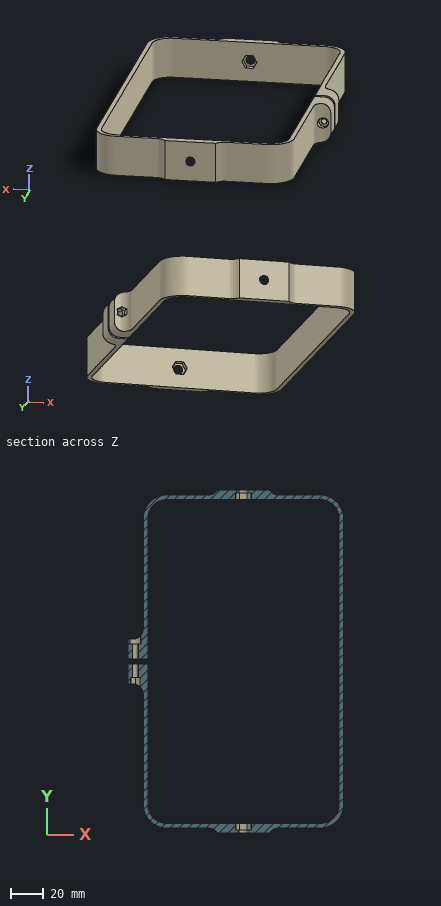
import cadquery as cq
import math

overall_x = 133.68
overall_y = 212.5
height = 25.4
wall = 3.175

lug_reach = 9.525
split_gap = 2.54
lug_width = 12.7
blend_radius = 6.35
screw_inset = lug_reach / 2
screw_hole_diameter = 3.4
screw_head_diameter = 6.5
screw_head_depth = 3.0
nut_flats = 5.6
nut_depth = 4.0

pad_height = 3.175
pad_width = 31.75
pad_flank_angle = math.radians(45)
pad_hole_diameter = 5.51
pad_nut_flats = 8.1
pad_nut_depth = 4.1

hexagon_sides = 6

corner_radius = 14.6
band_x = overall_x - lug_reach
band_y = overall_y - 2 * pad_height
inner_x = band_x - 2 * wall
inner_y = band_y - 2 * wall

band_left = -band_x / 2
band_inner_left = band_left + wall
lug_left = band_left - lug_reach
lug_end = split_gap / 2 + lug_width
screw_x = lug_left + screw_inset
pad_face = overall_y / 2


def make_band():
    """Rectangular band with rounded corners."""
    outer = cq.Workplane("XY").rect(band_x, band_y).extrude(height).edges("|Z").fillet(corner_radius)
    inner = cq.Workplane("XY").rect(inner_x, inner_y).extrude(height).edges("|Z").fillet(corner_radius - wall)
    return outer.cut(inner)


def make_pad():
    """Pad on the +Y side: sloping flanks blended into the band by concave arcs."""
    half_flat = pad_width / 2
    band_face = band_y / 2
    blend_rise = blend_radius * (1 - math.cos(pad_flank_angle))
    flank_foot = half_flat + (pad_height - blend_rise) / math.tan(pad_flank_angle)
    blend_foot = flank_foot + blend_radius * math.sin(pad_flank_angle)
    half_angle = pad_flank_angle / 2
    blend_mid_x = blend_foot - blend_radius * math.sin(half_angle)
    blend_mid_y = band_face + blend_radius * (1 - math.cos(half_angle))
    blend_top_y = band_face + blend_rise
    root_y = band_face - wall
    return (
        cq.Workplane("XY")
        .moveTo(-blend_foot, root_y)
        .lineTo(-blend_foot, band_face)
        .threePointArc((-blend_mid_x, blend_mid_y), (-flank_foot, blend_top_y))
        .lineTo(-half_flat, pad_face)
        .lineTo(half_flat, pad_face)
        .lineTo(flank_foot, blend_top_y)
        .threePointArc((blend_mid_x, blend_mid_y), (blend_foot, band_face))
        .lineTo(blend_foot, root_y)
        .close()
        .extrude(height)
    )


def make_lug():
    """Lug on the +Y side of the split, blended into the band and rounded at top and bottom."""
    blend_end = lug_end + blend_radius
    blend_start_x = band_left - blend_radius
    blend_mid = blend_radius * (1 - math.sqrt(0.5))
    profile = (
        cq.Workplane("XY")
        .moveTo(lug_left, 0)
        .lineTo(lug_left, lug_end)
        .lineTo(blend_start_x, lug_end)
        .threePointArc((band_left - blend_mid, lug_end + blend_mid), (band_left, blend_end))
        .lineTo(band_inner_left, blend_end)
        .lineTo(band_inner_left, 0)
        .close()
        .extrude(height)
    )
    envelope = (
        cq.Workplane("XY")
        .box(lug_reach + wall, blend_end, height, centered=False)
        .translate((lug_left, 0, 0))
        .edges("<X and |Y")
        .fillet(blend_radius)
    )
    return profile.intersect(envelope)


def both_sides(body):
    """The body together with its mirror image across the XZ plane."""
    return body.union(body.mirror("XZ"))


def plane_along_y(x, y):
    """Work plane at mid height whose extrusions run toward +Y from the given point."""
    return cq.Workplane(cq.Plane(origin=(x, y, height / 2), xDir=(1, 0, 0), normal=(0, 1, 0)))


def corner_diameter(flats):
    """Diameter across the corners of a hexagon, from its width across flats."""
    return 2 * flats / math.sqrt(3)


def make_split():
    """Gap that opens the band between the lugs."""
    return (
        cq.Workplane("XY")
        .box(lug_reach + wall, split_gap, height, centered=(False, True, False))
        .translate((lug_left, 0, 0))
    )


def make_screw_cutters():
    """Clamp screw hole, head counterbore in the +Y lug and nut pocket in the -Y lug."""
    seat_reach = blend_radius
    screw_hole = plane_along_y(screw_x, -lug_end).circle(screw_hole_diameter / 2).extrude(2 * lug_end)
    head_seat = (
        plane_along_y(screw_x, lug_end - screw_head_depth)
        .circle(screw_head_diameter / 2)
        .extrude(screw_head_depth + seat_reach)
    )
    nut_pocket = (
        plane_along_y(screw_x, -lug_end + nut_depth)
        .transformed(rotate=(0, 0, 90))
        .polygon(hexagon_sides, corner_diameter(nut_flats))
        .extrude(-(nut_depth + seat_reach))
    )
    return screw_hole.union(head_seat).union(nut_pocket)


def make_pad_cutter():
    """Through hole of the +Y pad with a hexagonal nut pocket in the inner face."""
    hole = plane_along_y(0, inner_y / 2).circle(pad_hole_diameter / 2).extrude(wall + pad_height)
    pocket = (
        plane_along_y(0, inner_y / 2)
        .polygon(hexagon_sides, corner_diameter(pad_nut_flats))
        .extrude(pad_nut_depth)
    )
    return hole.union(pocket)


result = (
    make_band()
    .union(both_sides(make_pad()))
    .union(both_sides(make_lug()))
    .cut(make_split())
    .cut(make_screw_cutters())
    .cut(both_sides(make_pad_cutter()))
)